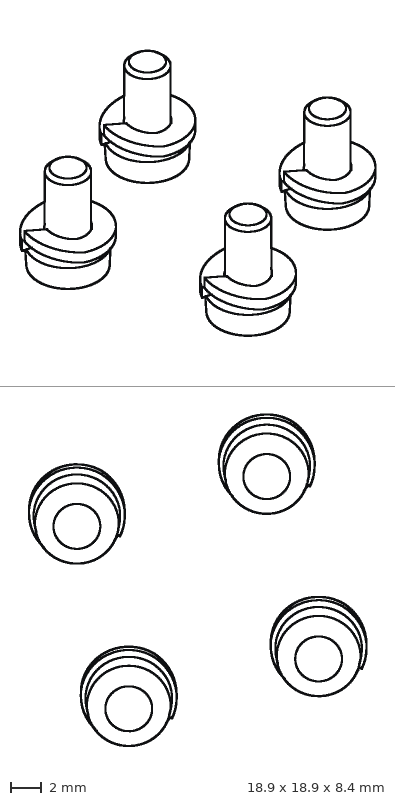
import cadquery as cq
import math

overall_size = 18.9
pitch = 12.7

shank_dia = 3.0
screw_height = 8.4
tip_chamfer = 0.3
head_height = 2.4
head_top_dia = 5.6
head_lower_dia = 5.4
dome_height = 0.66
dome_flat_dia = 3.02

washer_outer_dia = overall_size - pitch
washer_inner_dia = 3.1
washer_thickness = 0.8
washer_gap = 0.4
bend_angle = 10.0
gap_direction = 225

washer_outer_radius = washer_outer_dia / 2
gap_half = washer_gap / 2
bend_slope = math.tan(math.radians(bend_angle))
bend_shift = washer_thickness * math.sin(math.radians(bend_angle))
bend_height = washer_outer_radius * bend_slope
flat_bottom = head_height + bend_height


def make_screw():
    """Screw with its head at the bottom, revolved about the Z axis."""
    shank_radius = shank_dia / 2
    flat_radius = dome_flat_dia / 2
    lower_radius = head_lower_dia / 2
    dome_center_z = (lower_radius**2 - flat_radius**2 + dome_height**2) / (2 * dome_height)
    dome_radius = math.hypot(flat_radius, dome_center_z)
    middle_radius = (flat_radius + lower_radius) / 2
    middle_z = dome_center_z - math.sqrt(dome_radius**2 - middle_radius**2)
    return (
        cq.Workplane("XZ")
        .lineTo(flat_radius, 0)
        .threePointArc((middle_radius, middle_z), (lower_radius, dome_height))
        .lineTo(head_top_dia / 2, head_height)
        .lineTo(shank_radius, head_height)
        .lineTo(shank_radius, screw_height - tip_chamfer)
        .lineTo(shank_radius - tip_chamfer, screw_height)
        .lineTo(0, screw_height)
        .close()
        .revolve(360, (0, 0, 0), (0, 1, 0))
    )


def make_plate(profile, start_y, end_y):
    """Plate with an XZ profile, measured up from the flat underside, between two Y positions."""
    return (
        cq.Workplane("XZ", origin=(0, end_y, flat_bottom))
        .polyline(profile)
        .close()
        .extrude(end_y - start_y)
    )


def make_washer():
    """Spring washer with its gap first facing +X, then turned to the gap direction."""
    radius = washer_outer_radius
    shifted_bend_height = (radius - bend_shift) * bend_slope

    flat_half = make_plate(
        [(-radius, 0), (0, 0), (0, washer_thickness), (-radius, washer_thickness)],
        -radius,
        radius,
    )
    lower_quarter = make_plate(
        [
            (0, 0),
            (radius, -bend_height),
            (radius, washer_thickness - shifted_bend_height),
            (bend_shift, washer_thickness),
            (0, washer_thickness),
        ],
        -radius,
        -gap_half,
    )
    upper_quarter = make_plate(
        [
            (0, 0),
            (bend_shift, 0),
            (radius, shifted_bend_height),
            (radius, washer_thickness + bend_height),
            (0, washer_thickness),
        ],
        gap_half,
        radius,
    )
    ring = (
        cq.Workplane("XY")
        .circle(radius)
        .circle(washer_inner_dia / 2)
        .extrude(screw_height)
    )
    return (
        flat_half.union(lower_quarter)
        .union(upper_quarter)
        .intersect(ring)
        .rotate((0, 0, 0), (0, 0, 1), gap_direction)
    )


screw = make_screw()
washer = make_washer()

bodies = []
for x in (-pitch / 2, pitch / 2):
    for y in (-pitch / 2, pitch / 2):
        for body in (screw, washer):
            bodies.append(body.translate((x, y, 0)).val())

result = cq.Compound.makeCompound(bodies)